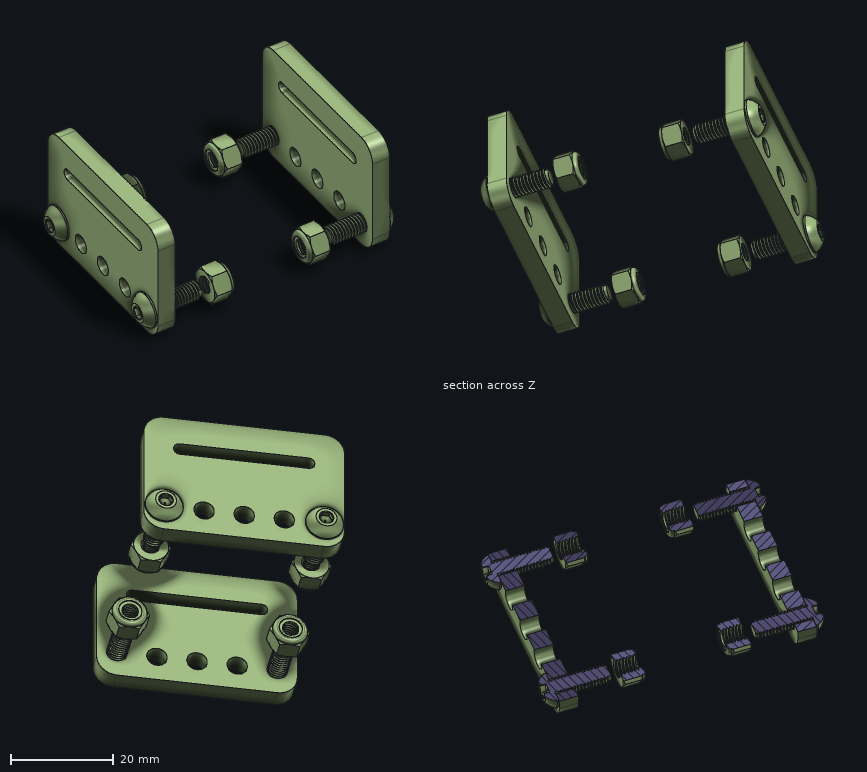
import cadquery as cq
import math

OUTER_LENGTH = 58.3
PLATE_WIDTH = 40.0
PLATE_HEIGHT = 26.95
PLATE_THICKNESS = 4.0
PLATE_CORNER_RADIUS = 4.0
HOLE_PITCH = 8.0
HOLE_COUNT = 5
HOLE_HEIGHT = 5.5
SLOT_LENGTH = 28.1
SLOT_WIDTH = 2.5
SLOT_DEPTH_FROM_TOP = 7.3

THREAD_DIAMETER = 4.0
THREAD_PITCH = 0.7
THREAD_DEPTH = 0.4
CREST_WIDTH = 0.09
RIDGE_WIDTH = 0.6
RIDGE_OVERLAP = 0.05

HEAD_DIAMETER = 7.6
HEAD_HEIGHT = 2.2
HEAD_TOP_DIAMETER = 4.15
HEAD_RIM_HEIGHT = 0.35
SOCKET_FLATS = 2.5
SOCKET_CORNERS = SOCKET_FLATS / math.cos(math.radians(30))
SOCKET_DEPTH = 1.3
SCREW_PROJECTION = 7.8
SCREW_LENGTH = PLATE_THICKNESS + SCREW_PROJECTION

NUT_FLATS = 7.0
NUT_CORNERS = NUT_FLATS / math.cos(math.radians(30))
NUT_LENGTH = 4.9
NUT_HEX_LENGTH = 4.0
NUT_GAP = 1.7
NUT_CHAMFER_ANGLE = math.radians(30)
COLLAR_FILLET = 0.75
COLLAR_RECESS_DIAMETER = 4.6
COLLAR_RECESS_DEPTH = 0.25

PLATE_OUTER_Y = OUTER_LENGTH / 2 - HEAD_HEIGHT
NUT_OUTER_Y = PLATE_OUTER_Y - SCREW_LENGTH - NUT_GAP
HOLE_ROW_Z = HOLE_HEIGHT - PLATE_HEIGHT / 2
SLOT_Z = PLATE_HEIGHT / 2 - SLOT_DEPTH_FROM_TOP
SCREW_X = HOLE_PITCH * (HOLE_COUNT - 1) / 2


def make_plate():
    """Plate in the XZ plane, centred on the origin in X and Z, from y = 0 to y = thickness."""
    plate = (
        cq.Workplane("XZ")
        .rect(PLATE_WIDTH, PLATE_HEIGHT)
        .extrude(-PLATE_THICKNESS)
        .edges("|Y")
        .fillet(PLATE_CORNER_RADIUS)
    )
    holes = (
        cq.Workplane("XZ", origin=(0, 0, HOLE_ROW_Z))
        .rarray(HOLE_PITCH, 0.6, HOLE_COUNT, 1)
        .circle(THREAD_DIAMETER / 2)
        .extrude(-PLATE_THICKNESS)
    )
    slot = (
        cq.Workplane("XZ", origin=(0, 0, SLOT_Z))
        .slot2D(SLOT_LENGTH, SLOT_WIDTH)
        .extrude(-PLATE_THICKNESS)
    )
    return plate.cut(holes).cut(slot)


def make_threaded_rod(length):
    """Threaded rod along Z from z = 0: a core cylinder and a helical ridge that ends short of both ends."""
    root_radius = THREAD_DIAMETER / 2 - THREAD_DEPTH
    ridge_margin = THREAD_PITCH / 2
    ridge_base = (0, 0, ridge_margin)
    helix = cq.Wire.makeHelix(THREAD_PITCH, length - 2 * ridge_margin, root_radius, cq.Vector(ridge_base))
    ridge = (
        cq.Workplane("XZ", origin=ridge_base)
        .polyline([
            (root_radius - RIDGE_OVERLAP, -RIDGE_WIDTH / 2),
            (root_radius + THREAD_DEPTH, -CREST_WIDTH / 2),
            (root_radius + THREAD_DEPTH, CREST_WIDTH / 2),
            (root_radius - RIDGE_OVERLAP, RIDGE_WIDTH / 2),
        ])
        .close()
        .sweep(cq.Workplane(helix), isFrenet=True)
    )
    return cq.Workplane("XY").circle(root_radius).extrude(length).union(ridge)


def make_screw():
    """Screw along Z: head below z = 0, threaded shank from z = 0 up to its tip."""
    return make_head().union(make_threaded_rod(SCREW_LENGTH))


def make_head():
    """Domed head under z = 0; the dome is part of a sphere centred on the Z axis."""
    rim_radius = HEAD_DIAMETER / 2
    top_radius = HEAD_TOP_DIAMETER / 2
    dome_centre = (HEAD_HEIGHT**2 + top_radius**2 - HEAD_RIM_HEIGHT**2 - rim_radius**2) / (
        2 * (HEAD_HEIGHT - HEAD_RIM_HEIGHT)
    )
    dome_radius = math.hypot(rim_radius, HEAD_RIM_HEIGHT - dome_centre)
    middle_radius = (rim_radius + top_radius) / 2
    middle_height = dome_centre + math.sqrt(dome_radius**2 - middle_radius**2)
    dome = (
        cq.Workplane("XZ")
        .lineTo(rim_radius, 0)
        .lineTo(rim_radius, -HEAD_RIM_HEIGHT)
        .threePointArc((middle_radius, -middle_height), (top_radius, -HEAD_HEIGHT))
        .lineTo(0, -HEAD_HEIGHT)
        .close()
        .revolve(360, (0, 0), (0, 1))
    )
    socket = (
        cq.Workplane("XY", origin=(0, 0, -HEAD_HEIGHT))
        .polygon(6, SOCKET_CORNERS)
        .extrude(SOCKET_DEPTH)
    )
    countersink = cq.Workplane(
        cq.Solid.makeCone(SOCKET_CORNERS / 2, 0, SOCKET_CORNERS / 2, cq.Vector(0, 0, -HEAD_HEIGHT))
    )
    return dome.cut(socket).cut(countersink)


def make_nut():
    """Nut along Z: bearing face at z = 0, collar end at z = length, corners on the X axis."""
    flat_radius = NUT_FLATS / 2
    corner_radius = NUT_CORNERS / 2
    chamfer_height = (corner_radius - flat_radius) * math.tan(NUT_CHAMFER_ANGLE)
    envelope = (
        cq.Workplane("XZ")
        .lineTo(flat_radius, 0)
        .lineTo(corner_radius, chamfer_height)
        .lineTo(corner_radius, NUT_HEX_LENGTH - chamfer_height)
        .lineTo(flat_radius, NUT_HEX_LENGTH)
        .lineTo(flat_radius, NUT_LENGTH)
        .lineTo(0, NUT_LENGTH)
        .close()
        .revolve(360, (0, 0), (0, 1))
        .faces(">Z")
        .edges()
        .fillet(COLLAR_FILLET)
    )
    hexagon = cq.Workplane("XY").polygon(6, NUT_CORNERS).extrude(NUT_HEX_LENGTH)
    collar = cq.Workplane("XY").circle(flat_radius).extrude(NUT_LENGTH)
    recess = (
        cq.Workplane("XY", origin=(0, 0, NUT_LENGTH - COLLAR_RECESS_DEPTH))
        .circle(COLLAR_RECESS_DIAMETER / 2)
        .extrude(COLLAR_RECESS_DEPTH)
    )
    thread_end = NUT_LENGTH - COLLAR_RECESS_DEPTH
    thread = make_threaded_rod(THREAD_PITCH + thread_end).translate((0, 0, -THREAD_PITCH))
    return hexagon.union(collar).intersect(envelope).cut(recess).cut(thread)


def place_pair(body, start_y):
    """Copies of a body at the two outer holes of the front plate, its +Z axis turned to +Y."""
    turned = body.rotate((0, 0, 0), (1, 0, 0), -90)
    return [turned.translate((x, start_y, HOLE_ROW_Z)).solids().val() for x in (-SCREW_X, SCREW_X)]


def back_copies(bodies):
    """Copies of the front bodies turned half way round the Z axis to the back."""
    return [body.rotate(cq.Vector(0, 0, 0), cq.Vector(0, 0, 1), 180) for body in bodies]


front_plate = make_plate().translate((0, -PLATE_OUTER_Y, 0)).solids().val()
front_screws = place_pair(make_screw(), -PLATE_OUTER_Y)
front_nuts = place_pair(make_nut(), -NUT_OUTER_Y)

front_bodies = [front_plate, *front_screws, *front_nuts]
result = cq.Compound.makeCompound([*front_bodies, *back_copies(front_bodies)])